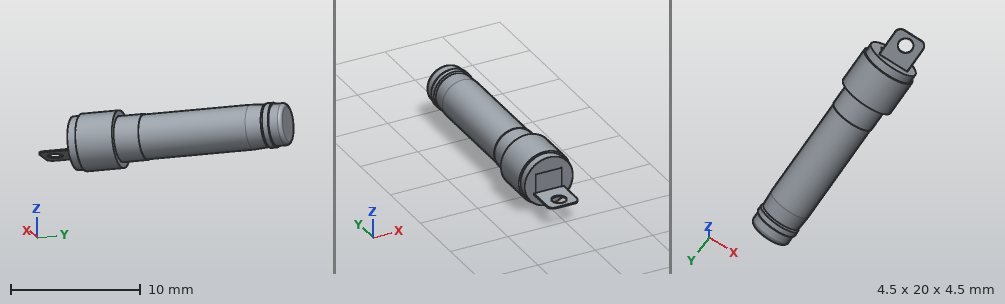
import cadquery as cq

TOTAL_LENGTH = 20.0

BARREL_LENGTH = 11.6
BARREL_RADIUS = 3.5 / 2
NOSE_RADIUS = 3.3 / 2
NOSE_LENGTH = 1.0
NOSE_FILLET = 0.3
RING_CHAMFER = 0.05
RING_LENGTH = 0.5
RING_TAPER_LENGTH = 0.15
NECK_LENGTH = 1.25
NECK_FRONT_RADIUS = 1.65
NECK_BULGE = 0.005

SHOULDER_RADIUS = 1.8
SHOULDER_LENGTH = 2.0
COLLAR_RADIUS = 4.5 / 2
COLLAR_LENGTH = 3.0
FLANGE_RADIUS = 2.1
FLANGE_LENGTH = 0.7

BLOCK_WIDTH = 2.25
BLOCK_HEIGHT = 1.75
BLOCK_DEPTH = FLANGE_LENGTH

TAB_WIDTH = 2.6
TAB_THICKNESS = 0.12
TAB_CORNER_RADIUS = 0.5
TAB_HOLE_DIAMETER = 1.2
TAB_HOLE_FROM_END = 1.0

BARREL_REAR = TOTAL_LENGTH - BARREL_LENGTH
COLLAR_FRONT = BARREL_REAR - SHOULDER_LENGTH
COLLAR_REAR = COLLAR_FRONT - COLLAR_LENGTH
FLANGE_REAR = COLLAR_REAR - FLANGE_LENGTH


def cylinder_along_y(radius, rear, front):
    """Solid cylinder on the plug axis between two Y positions."""
    return cq.Workplane("XZ", origin=(0, front, 0)).circle(radius).extrude(front - rear)


def make_barrel():
    ring_front = TOTAL_LENGTH - NOSE_LENGTH
    ring_rear = ring_front - RING_LENGTH
    neck_front = ring_rear - RING_TAPER_LENGTH
    neck_rear = neck_front - NECK_LENGTH
    neck_middle = (neck_front + neck_rear) / 2
    neck_middle_radius = (NECK_FRONT_RADIUS + BARREL_RADIUS) / 2 + NECK_BULGE

    half_section = (
        cq.Workplane("XY")
        .moveTo(0, BARREL_REAR)
        .lineTo(BARREL_RADIUS, BARREL_REAR)
        .lineTo(BARREL_RADIUS, neck_rear)
        .threePointArc((neck_middle_radius, neck_middle), (NECK_FRONT_RADIUS, neck_front))
        .lineTo(BARREL_RADIUS, ring_rear)
        .lineTo(BARREL_RADIUS, ring_front - RING_CHAMFER)
        .lineTo(BARREL_RADIUS - RING_CHAMFER, ring_front)
        .lineTo(NOSE_RADIUS, ring_front)
        .lineTo(NOSE_RADIUS, TOTAL_LENGTH)
        .lineTo(0, TOTAL_LENGTH)
        .close()
    )
    barrel = half_section.revolve(360, (0, 0, 0), (0, 1, 0))
    return barrel.faces(">Y").edges().fillet(NOSE_FILLET)


def make_block():
    return (
        cq.Workplane("XY")
        .box(BLOCK_WIDTH, BLOCK_DEPTH, BLOCK_HEIGHT)
        .translate((0, FLANGE_REAR + BLOCK_DEPTH / 2, 0))
    )


def make_housing(block):
    """Stepped housing with a pocket in its rear face that fits the block."""
    shoulder = cylinder_along_y(SHOULDER_RADIUS, COLLAR_FRONT, BARREL_REAR)
    collar = cylinder_along_y(COLLAR_RADIUS, COLLAR_REAR, COLLAR_FRONT)
    flange = cylinder_along_y(FLANGE_RADIUS, FLANGE_REAR, COLLAR_REAR)
    return shoulder.union(collar).union(flange).cut(block)


def make_tab():
    tab_length = FLANGE_REAR
    tab_bottom = -BLOCK_HEIGHT / 2
    plate = (
        cq.Workplane("XY", origin=(0, 0, tab_bottom))
        .center(0, tab_length / 2)
        .rect(TAB_WIDTH, tab_length)
        .extrude(TAB_THICKNESS)
        .edges("|Z and <Y")
        .fillet(TAB_CORNER_RADIUS)
    )
    hole = (
        cq.Workplane("XY", origin=(0, TAB_HOLE_FROM_END, tab_bottom))
        .circle(TAB_HOLE_DIAMETER / 2)
        .extrude(TAB_THICKNESS)
    )
    return plate.cut(hole)


barrel = make_barrel()
block = make_block()
housing = make_housing(block)
tab = make_tab()

result = cq.Compound.makeCompound([barrel.val(), housing.val(), block.val(), tab.val()])